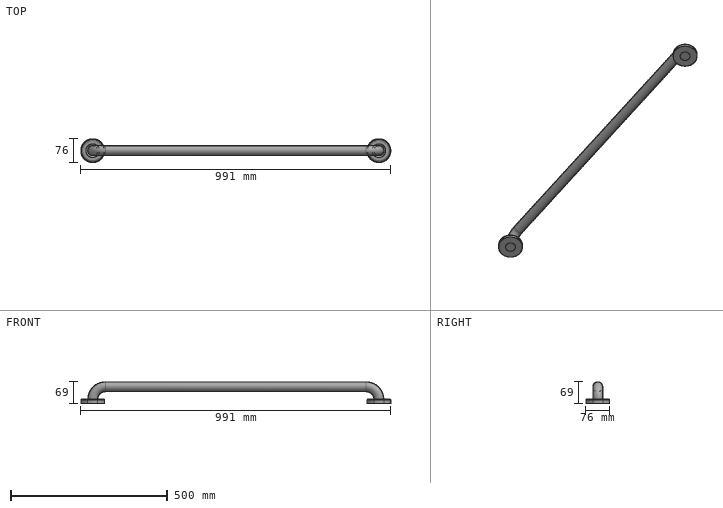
import cadquery as cq

overall_length = 991.0
overall_height = 69.0

flange_diameter = 76.0
flange_thickness = 15.0
rim_chamfer = 2.0
shoulder_width = 4.0
shoulder_rise = 1.0
countersink_diameter = 44.0
countersink_depth = 4.0

rail_diameter = 32.0
bend_radius = 41.0

flange_radius = flange_diameter / 2
rail_radius = rail_diameter / 2
countersink_radius = countersink_diameter / 2
flange_x = (overall_length - flange_diameter) / 2
rail_axis_z = overall_height - rail_radius
bend_start_z = rail_axis_z - bend_radius
straight_end_x = flange_x - bend_radius


def make_rail():
    """Round bar along X whose two ends bend down and stand through the flanges."""
    path = (
        cq.Workplane("XZ")
        .moveTo(-flange_x, 0)
        .lineTo(-flange_x, bend_start_z)
        .tangentArcPoint((-straight_end_x, rail_axis_z), relative=False)
        .lineTo(straight_end_x, rail_axis_z)
        .tangentArcPoint((flange_x, bend_start_z), relative=False)
        .lineTo(flange_x, 0)
    )
    return cq.Workplane("XY").center(-flange_x, 0).circle(rail_radius).sweep(path)


def make_flange(center_x):
    """Turned ring: chamfered rim, shallow conical shoulder, flat top, countersunk hole for the rail."""
    shoulder_radius = flange_radius - rim_chamfer
    shoulder_z = flange_thickness - shoulder_rise
    half_section = (
        cq.Workplane("XZ")
        .moveTo(rail_radius, 0)
        .lineTo(flange_radius, 0)
        .lineTo(flange_radius, shoulder_z - rim_chamfer)
        .lineTo(shoulder_radius, shoulder_z)
        .lineTo(shoulder_radius - shoulder_width, flange_thickness)
        .lineTo(countersink_radius, flange_thickness)
        .lineTo(rail_radius, flange_thickness - countersink_depth)
        .close()
    )
    return half_section.revolve(360, (0, 0, 0), (0, 1, 0)).translate((center_x, 0, 0))


rail = make_rail()
flanges = [make_flange(center_x) for center_x in (-flange_x, flange_x)]

result = cq.Compound.makeCompound([rail.val(), *[flange.val() for flange in flanges]])